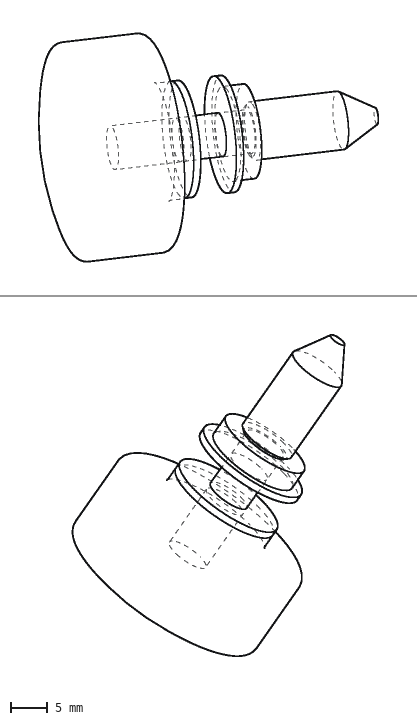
import cadquery as cq

LENGTH = 46.0

KNOB_RADIUS = 15.0
DOME_RADIUS = 40.0
KNOB_BACK = 15.05
KNOB_ROUND = 1.0
NECK_RADIUS = 8.0
NECK_LENGTH = 3.0
NECK_FILLET = 1.0
SELECT_MARGIN = 0.45

WASHER_THICKNESS = 1.0

BUSHING_GAP = 5.0
FLANGE_RADIUS = NECK_RADIUS
FLANGE_THICKNESS = 1.0
SLEEVE_RADIUS = 6.5
SLEEVE_LENGTH = 3.0

ROD_RADIUS = 3.0
ROD_SEAT_DEPTH = 9.2
HEAD_RADIUS = 4.0
HEAD_CHAMFER = 0.5
TIP_RADIUS = 1.15
TIP_LENGTH = 5.0

NECK_END = KNOB_BACK + NECK_LENGTH
WASHER_END = NECK_END + WASHER_THICKNESS
FLANGE_START = WASHER_END + BUSHING_GAP
FLANGE_END = FLANGE_START + FLANGE_THICKNESS
SLEEVE_END = FLANGE_END + SLEEVE_LENGTH
ROD_START = NECK_END - ROD_SEAT_DEPTH


def cylinder(radius, start, end):
    """Solid cylinder along +Y between two stations."""
    return cq.Workplane("XZ", origin=(0, start, 0)).circle(radius).extrude(start - end)


def make_knob():
    """Domed knob with rounded rims, a filleted neck and a blind seat for the rod."""
    dome = cq.Workplane("XY").sphere(DOME_RADIUS).translate((0, DOME_RADIUS, 0))
    body = cylinder(KNOB_RADIUS, 0, KNOB_BACK).intersect(dome)
    body = body.edges("%CIRCLE").fillet(KNOB_ROUND)
    body = body.union(cylinder(NECK_RADIUS, KNOB_BACK, NECK_END))
    neck_root = cq.selectors.BoxSelector(
        (-NECK_RADIUS - SELECT_MARGIN, KNOB_BACK - SELECT_MARGIN, -NECK_RADIUS - SELECT_MARGIN),
        (NECK_RADIUS + SELECT_MARGIN, KNOB_BACK + SELECT_MARGIN, NECK_RADIUS + SELECT_MARGIN),
        boundingbox=True,
    )
    body = body.edges("%CIRCLE").edges(neck_root).fillet(NECK_FILLET)
    return body.cut(cylinder(ROD_RADIUS, ROD_START, NECK_END))


def make_washer():
    """Flat ring between the knob neck and the free length of the rod."""
    disc = cylinder(NECK_RADIUS, NECK_END, WASHER_END)
    return disc.cut(cylinder(ROD_RADIUS, NECK_END, WASHER_END))


def make_bushing():
    """Sleeve with a thin flange on its knob side."""
    flange = cylinder(FLANGE_RADIUS, FLANGE_START, FLANGE_END)
    sleeve = cylinder(SLEEVE_RADIUS, FLANGE_END, SLEEVE_END)
    return flange.union(sleeve).cut(cylinder(ROD_RADIUS, FLANGE_START, SLEEVE_END))


def make_stud():
    """Thin rod with a thicker head, chamfered at its base and coned at its tip."""
    profile = [
        (0, ROD_START),
        (ROD_RADIUS, ROD_START),
        (ROD_RADIUS, SLEEVE_END),
        (HEAD_RADIUS - HEAD_CHAMFER, SLEEVE_END),
        (HEAD_RADIUS, SLEEVE_END + HEAD_CHAMFER),
        (HEAD_RADIUS, LENGTH - TIP_LENGTH),
        (TIP_RADIUS, LENGTH),
        (0, LENGTH),
    ]
    return cq.Workplane("XY").polyline(profile).close().revolve(360, (0, 0, 0), (0, 1, 0))


knob = make_knob()
washer = make_washer()
bushing = make_bushing()
stud = make_stud()

result = cq.Compound.makeCompound([knob.val(), washer.val(), bushing.val(), stud.val()])